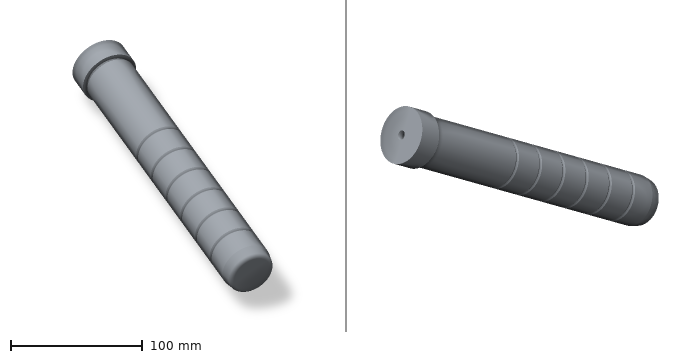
import cadquery as cq
import math

length = 260.0
head_diameter = 45.0
head_length = 18.0
shank_diameter = 40.0

undercut_depth = 1.0
undercut_width = 2.5

groove_count = 6
groove_pitch = 25.0
first_groove_center = 104.8
groove_width = 3.0
groove_depth = 1.0

lead_length = 10.1
lead_angle = 12.0
nose_radius = 3.0

center_diameter = 7.3
pilot_diameter = 4.0
pilot_depth = 3.0
countersink_angle = 60.0
pilot_tip_angle = 118.0

head_radius = head_diameter / 2
shank_radius = shank_diameter / 2
undercut_radius = shank_radius - undercut_depth
lead_start = length - lead_length


def make_body():
    """Revolve the head, undercut, shank and tapered nose about X."""
    nose_rim_radius = shank_radius - lead_length * math.tan(math.radians(lead_angle))
    undercut_end = head_length + undercut_width
    body = (
        cq.Workplane("XY")
        .moveTo(0, 0)
        .lineTo(0, head_radius)
        .lineTo(head_length, head_radius)
        .lineTo(head_length, undercut_radius)
        .lineTo(undercut_end - undercut_depth, undercut_radius)
        .lineTo(undercut_end, shank_radius)
        .lineTo(lead_start, shank_radius)
        .lineTo(length, nose_rim_radius)
        .lineTo(length, 0)
        .close()
        .revolve(360, (0, 0, 0), (1, 0, 0))
    )
    return body.faces(">X").edges().fillet(nose_radius)


def make_groove(center):
    """Ring with a V-shaped section, used to cut one groove."""
    half_width = groove_width / 2
    return (
        cq.Workplane("XY")
        .moveTo(center - half_width, shank_radius)
        .lineTo(center, shank_radius - groove_depth)
        .lineTo(center + half_width, shank_radius)
        .lineTo(center + half_width, head_radius)
        .lineTo(center - half_width, head_radius)
        .close()
        .revolve(360, (0, 0, 0), (1, 0, 0))
    )


def make_center_hole():
    """Conical countersink running into a short pilot hole with a drill-point bottom."""
    center_radius = center_diameter / 2
    pilot_radius = pilot_diameter / 2
    cone_depth = (center_radius - pilot_radius) / math.tan(math.radians(countersink_angle / 2))
    pilot_end = cone_depth + pilot_depth
    tip_depth = pilot_radius / math.tan(math.radians(pilot_tip_angle / 2))
    return (
        cq.Workplane("XY")
        .moveTo(0, 0)
        .lineTo(0, center_radius)
        .lineTo(cone_depth, pilot_radius)
        .lineTo(pilot_end, pilot_radius)
        .lineTo(pilot_end + tip_depth, 0)
        .close()
        .revolve(360, (0, 0, 0), (1, 0, 0))
    )


result = make_body().cut(make_center_hole())
for index in range(groove_count):
    result = result.cut(make_groove(first_groove_center + index * groove_pitch))